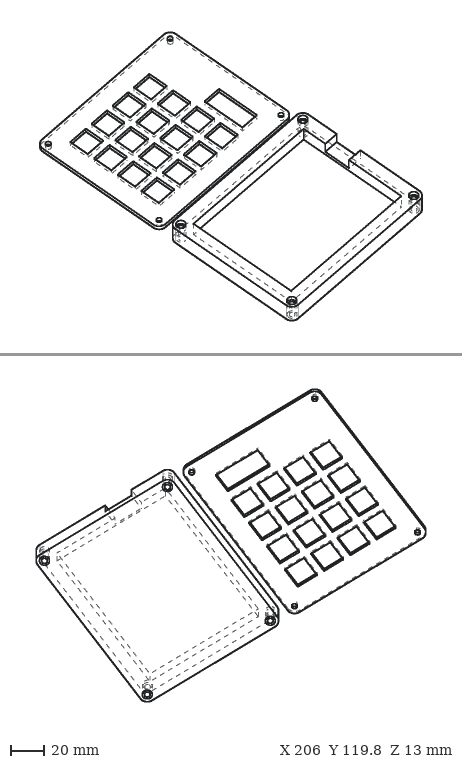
import cadquery as cq

outline_width = 99.2
outline_length = 119.79
corner_radius = 5.0
overall_width = 205.97
case_offset = overall_width - outline_width

screw_x = outline_width / 2 - corner_radius
screw_y = outline_length / 2 - corner_radius
screw_points = [(sx * screw_x, sy * screw_y) for sx in (-1, 1) for sy in (-1, 1)]
screw_hole_diameter = 3.4

plate_thickness = 3.0
key_count = 4
key_pitch = 19.05
key_size = 14.0
key_center_x = 0.0
key_center_y = -9.5
window_width = 30.5
window_length = 13.0
window_center_x = 18.6
window_center_y = 38.7

case_height = 13.0
floor_thickness = 3.0
wall_thickness = 10.3
cavity_width = outline_width - 2 * wall_thickness
cavity_length = outline_length - 2 * wall_thickness
notch_width = 19.0
notch_depth = 7.5
notch_center_x = -12.3

bushing_diameter = 6.0
bushing_recess = 3.0
bushing_height = case_height - bushing_recess


def rounded_slab(height):
    """Rectangular slab with rounded vertical corners, standing on Z = 0."""
    return (
        cq.Workplane("XY")
        .rect(outline_width, outline_length)
        .extrude(height)
        .edges("|Z")
        .fillet(corner_radius)
    )


def make_plate():
    """Cover plate with corner screw holes, a square key grid and a display window."""
    screw_holes = cq.Workplane("XY").pushPoints(screw_points).circle(screw_hole_diameter / 2)
    key_holes = (
        cq.Workplane("XY")
        .center(key_center_x, key_center_y)
        .rarray(key_pitch, key_pitch, key_count, key_count)
        .rect(key_size, key_size)
    )
    window = cq.Workplane("XY").center(window_center_x, window_center_y).rect(window_width, window_length)
    plate = rounded_slab(plate_thickness)
    for opening in (screw_holes, key_holes, window):
        plate = plate.cut(opening.extrude(plate_thickness))
    return plate


def make_case():
    """Open tray with thick walls, through bores for the bushings and a cable notch in the +Y wall."""
    cavity = (
        cq.Workplane("XY", origin=(0, 0, floor_thickness))
        .rect(cavity_width, cavity_length)
        .extrude(case_height - floor_thickness)
    )
    notch = (
        cq.Workplane("XY", origin=(notch_center_x, outline_length / 2 - wall_thickness / 2, case_height))
        .rect(notch_width, wall_thickness)
        .extrude(-notch_depth)
    )
    bores = cq.Workplane("XY").pushPoints(screw_points).circle(bushing_diameter / 2).extrude(case_height)
    return rounded_slab(case_height).cut(cavity).cut(notch).cut(bores)


def make_bushing(x, y):
    """Sleeve that fills one corner bore up to the recess and guides a screw."""
    return (
        cq.Workplane("XY", origin=(x, y, 0))
        .circle(bushing_diameter / 2)
        .circle(screw_hole_diameter / 2)
        .extrude(bushing_height)
    )


plate = make_plate()
case = make_case().translate((case_offset, 0, 0))
bushings = [make_bushing(case_offset + x, y) for x, y in screw_points]

result = cq.Compound.makeCompound([plate.val(), case.val(), *[bushing.val() for bushing in bushings]])